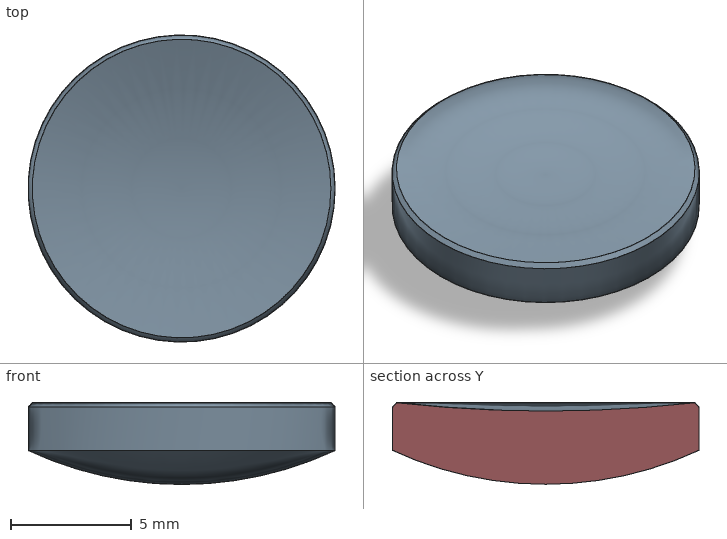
import cadquery as cq

diameter = 12.7
total_height = 3.39
convex_sag = 1.41
concave_sag = 0.34
bevel_width = 0.18
bevel_height = 0.18

radius = diameter / 2
rim_radius = radius - bevel_width
edge_bottom = convex_sag
edge_top = total_height - bevel_height


def cap_height(sag, half_chord, distance):
    """Height above the vertex of a spherical cap at a distance from its axis."""
    sphere_radius = (half_chord**2 + sag**2) / (2 * sag)
    return sphere_radius - (sphere_radius**2 - distance**2) ** 0.5


convex_middle = (radius / 2, cap_height(convex_sag, radius, radius / 2))
concave_vertex_height = total_height - concave_sag
concave_middle = (
    rim_radius / 2,
    concave_vertex_height + cap_height(concave_sag, rim_radius, rim_radius / 2),
)

half_section = (
    cq.Workplane("XZ")
    .moveTo(0, 0)
    .threePointArc(convex_middle, (radius, edge_bottom))
    .lineTo(radius, edge_top)
    .lineTo(rim_radius, total_height)
    .threePointArc(concave_middle, (0, concave_vertex_height))
    .close()
)
result = half_section.revolve(360, (0, 0, 0), (0, 1, 0))